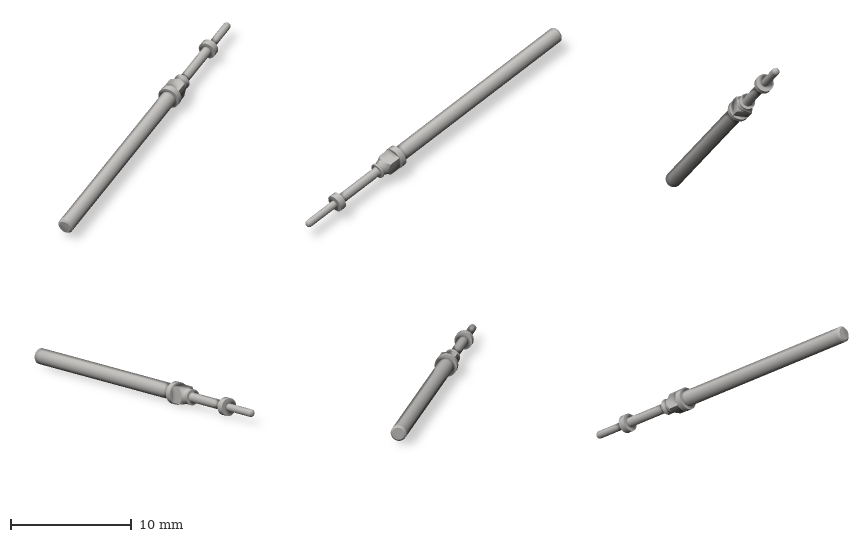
import cadquery as cq

TOTAL_LENGTH = 29.2

PIN_RADIUS = 0.32
TIP_ROUNDING = 0.3
COLLAR_START = 3.27
COLLAR_LENGTH = 0.58
COLLAR_RADIUS = 0.75
SHAFT_END = 7.8
SHAFT_RADIUS = 0.4

NECK_START_RADIUS = 0.35
NECK_END_RADIUS = 0.45
HEAD_START = 8.2
GROOVE_START = 8.35
GROOVE_BOTTOM = 8.58
GROOVE_END = 8.75
GROOVE_DEPTH = 0.1

FLANGE_RADIUS = 0.95
FLANGE_START = 10.15
FLANGE_LENGTH = 0.53
SQUARE_SIDE = 1.35
SQUARE_TAPER_START = 8.9
SQUARE_TAPER_LENGTH = 0.25

BARREL_RADIUS = SQUARE_SIDE / 2
END_CHAMFER = 0.15


def rod(start, end, radius, end_radius=None):
    """Coaxial cylinder, or cone when end_radius is given, between two distances from the tip."""
    if end_radius is None:
        end_radius = radius
    y_start = TOTAL_LENGTH / 2 - start
    y_end = TOTAL_LENGTH / 2 - end
    outline = [(0, y_start), (radius, y_start), (end_radius, y_end), (0, y_end)]
    return cq.Workplane("XY").polyline(outline).close().revolve(360, (0, 0), (0, 1))


def contact_pin():
    pin = rod(0, COLLAR_START, PIN_RADIUS).faces(">Y").edges().fillet(TIP_ROUNDING)
    collar_end = COLLAR_START + COLLAR_LENGTH
    collar = rod(COLLAR_START, collar_end, COLLAR_RADIUS)
    shaft = rod(collar_end, SHAFT_END, SHAFT_RADIUS)
    return pin.union(collar).union(shaft)


def grooved_head():
    neck = rod(SHAFT_END, HEAD_START, NECK_START_RADIUS, NECK_END_RADIUS)
    front_ring = rod(HEAD_START, GROOVE_START, BARREL_RADIUS)
    rear_ring = rod(GROOVE_END, SQUARE_TAPER_START, BARREL_RADIUS)
    return neck.union(front_ring).union(ring_groove()).union(rear_ring)


def ring_groove():
    """Groove that drops steeply on a hollow curve, then rises on a straight cone."""
    y_start = TOTAL_LENGTH / 2 - GROOVE_START
    y_bottom = TOTAL_LENGTH / 2 - GROOVE_BOTTOM
    y_end = TOTAL_LENGTH / 2 - GROOVE_END
    bottom_radius = BARREL_RADIUS - GROOVE_DEPTH
    curve_length = GROOVE_BOTTOM - GROOVE_START
    curve_radius = (curve_length**2 + GROOVE_DEPTH**2) / (2 * GROOVE_DEPTH)
    profile = (
        cq.Workplane("XY")
        .moveTo(0, y_start)
        .lineTo(0, y_end)
        .lineTo(BARREL_RADIUS, y_end)
        .lineTo(bottom_radius, y_bottom)
        .radiusArc((BARREL_RADIUS, y_start), curve_radius)
        .close()
    )
    return profile.revolve(360, (0, 0), (0, 1))


def tapered_square():
    taper_end = SQUARE_TAPER_START + SQUARE_TAPER_LENGTH
    envelope = rod(SQUARE_TAPER_START, taper_end, BARREL_RADIUS, FLANGE_RADIUS)
    envelope = envelope.union(rod(taper_end, FLANGE_START, FLANGE_RADIUS))
    square_bar = cq.Workplane("XY").box(SQUARE_SIDE, TOTAL_LENGTH, SQUARE_SIDE)
    return envelope.intersect(square_bar)


def barrel():
    flange_end = FLANGE_START + FLANGE_LENGTH
    flange = rod(FLANGE_START, flange_end, FLANGE_RADIUS)
    tube = rod(flange_end, TOTAL_LENGTH, BARREL_RADIUS).faces("<Y").edges().chamfer(END_CHAMFER)
    return flange.union(tube)


result = contact_pin().union(grooved_head()).union(tapered_square()).union(barrel())